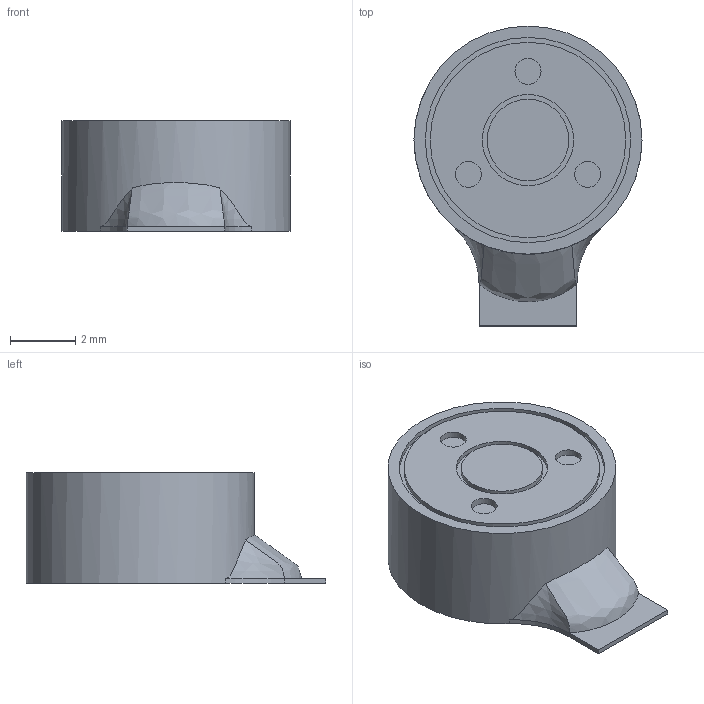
import cadquery as cq
import math

body_diameter = 7.0
body_height = 3.4
body_radius = body_diameter / 2

rim_groove_outer = 6.3
rim_groove_inner = 6.0
centre_groove_outer = 2.8
centre_groove_inner = 2.5
groove_depth = 0.15
hole_diameter = 0.8
hole_depth = 0.2
hole_count = 3
hole_circle_radius = 2.11
first_hole_angle = 90.0

tab_half_width = 1.5
tab_thickness = 0.15
tab_end_y = -5.7
tab_fillet_radius = 2.4

fillet_centre_x = tab_half_width + tab_fillet_radius
fillet_centre_y = -math.sqrt((body_radius + tab_fillet_radius) ** 2 - fillet_centre_x ** 2)
tangent_scale = body_radius / (body_radius + tab_fillet_radius)
tangent_x = fillet_centre_x * tangent_scale
tangent_y = fillet_centre_y * tangent_scale
fillet_chord = math.hypot(tangent_x - tab_half_width, tangent_y - fillet_centre_y)
fillet_sag = tab_fillet_radius - math.sqrt(tab_fillet_radius ** 2 - (fillet_chord / 2) ** 2)
fillet_sag_ratio = fillet_sag / fillet_chord

hump_top_z = 1.6
hump_level_count = 7
hump_front_bulge = 0.53
hump_nose_radius = 0.66
hump_lean = math.radians(55)
hump_top_half_width = 1.31
flank_end_top_x = 1.7
flank_end_top_radius = 3.32
hump_back_y = -1.5


def blend(start, end, fraction):
    return start + (end - start) * fraction


def ring_groove(outer_diameter, inner_diameter):
    floor_z = body_height - groove_depth
    ring = cq.Workplane("XY").workplane(offset=floor_z)
    return ring.circle(outer_diameter / 2).circle(inner_diameter / 2).extrude(groove_depth)


def make_body():
    body = cq.Workplane("XY").circle(body_radius).extrude(body_height)
    body = body.cut(ring_groove(rim_groove_outer, rim_groove_inner))
    body = body.cut(ring_groove(centre_groove_outer, centre_groove_inner))
    holes = (
        cq.Workplane("XY")
        .workplane(offset=body_height - hole_depth)
        .polarArray(hole_circle_radius, first_hole_angle, 360, hole_count)
        .circle(hole_diameter / 2)
        .extrude(hole_depth)
    )
    return body.cut(holes)


def flank_middle(corner, flank_end):
    """Middle point of the concave right flank between two of its points."""
    run_x = flank_end[0] - corner[0]
    run_y = flank_end[1] - corner[1]
    middle_x = (corner[0] + flank_end[0]) / 2 - run_y * fillet_sag_ratio
    middle_y = (corner[1] + flank_end[1]) / 2 + run_x * fillet_sag_ratio
    return (middle_x, middle_y)


def mirrored(point):
    return (-point[0], point[1])


def make_tab():
    corner = (tab_half_width, fillet_centre_y)
    tangent_point = (tangent_x, tangent_y)
    middle = flank_middle(corner, tangent_point)
    return (
        cq.Workplane("XY")
        .moveTo(tab_half_width, tab_end_y)
        .lineTo(*corner)
        .threePointArc(middle, tangent_point)
        .lineTo(0, 0)
        .lineTo(*mirrored(tangent_point))
        .threePointArc(mirrored(middle), mirrored(corner))
        .lineTo(-tab_half_width, tab_end_y)
        .close()
        .extrude(tab_thickness)
    )


def front_setback(rise):
    """Distance the hump front falls back at a given rise: a round nose, then a straight slope."""
    nose_rise = hump_nose_radius * math.sin(hump_lean)
    if rise < nose_rise:
        return hump_nose_radius - math.sqrt(hump_nose_radius ** 2 - rise ** 2)
    nose_setback = hump_nose_radius * (1 - math.cos(hump_lean))
    return nose_setback + (rise - nose_rise) * math.tan(hump_lean)


def hump_section(fraction):
    """Horizontal outline of the hump, from the tab top (0) to the hump top (1)."""
    rise = (hump_top_z - tab_thickness) * fraction
    corner_x = blend(tab_half_width, hump_top_half_width, fraction)
    corner_y = fillet_centre_y + front_setback(rise)
    corner = (corner_x, corner_y)
    end_x = blend(tangent_x, flank_end_top_x, fraction)
    end_radius = blend(body_radius, flank_end_top_radius, fraction)
    flank_end = (end_x, -math.sqrt(end_radius ** 2 - end_x ** 2))
    middle = flank_middle(corner, flank_end)
    outline = (
        cq.Workplane("XY")
        .workplane(offset=tab_thickness + rise)
        .moveTo(*mirrored(corner))
        .threePointArc((0, corner_y - hump_front_bulge), corner)
        .threePointArc(middle, flank_end)
        .lineTo(end_x, hump_back_y)
        .lineTo(-end_x, hump_back_y)
        .lineTo(*mirrored(flank_end))
        .threePointArc(mirrored(middle), mirrored(corner))
        .close()
    )
    return outline.val()


def make_hump():
    last_level = hump_level_count - 1
    sections = [hump_section(level / last_level) for level in range(hump_level_count)]
    return cq.Workplane("XY").newObject([cq.Solid.makeLoft(sections)])


result = make_body().union(make_tab()).union(make_hump())